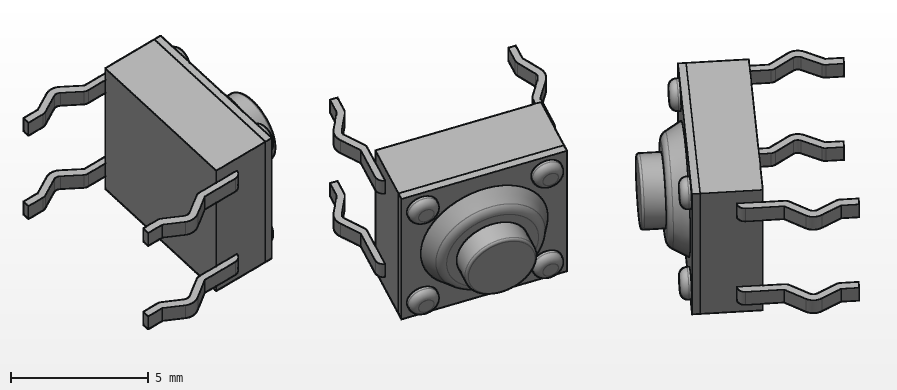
import cadquery as cq


SWITCH_SIDE = 6.5
BASE_HEIGHT = 2.3
PLATE_THICKNESS = 0.3
PLATE_TOP = BASE_HEIGHT + PLATE_THICKNESS

COLLAR_RADIUS = 2.5
COLLAR_HEIGHT = 0.8
COLLAR_TAPER = 30
COLLAR_ROUND = 0.4
COLLAR_TOP = PLATE_TOP + COLLAR_HEIGHT

BUTTON_RADIUS = 1.41
BUTTON_HEIGHT = 0.9
BUTTON_ROUND = 0.1

STUD_RADIUS = 0.6
STUD_HEIGHT = 0.4
STUD_ROUND = 0.3
STUD_SPACING = 4.88

LEAD_WIDTH = 0.7
LEAD_SPACING = 4.5
LEAD_THICKNESS = 0.3
LEAD_SHOULDER_TOP = 0.97
LEAD_SHOULDER_RADIUS = 0.315
LEAD_SHOULDER_END = 0.67
LEAD_TIP = -3.5
OUTER_UPPER_BEND = (0.27, -0.75)
OUTER_KNEE = (0.98, -1.79)
OUTER_LOWER_BEND = (0.4, -2.83)
INNER_UPPER_BEND = (0, -0.885)
INNER_KNEE = (0.63, -1.8)
INNER_LOWER_BEND = (OUTER_LOWER_BEND[0] - LEAD_THICKNESS, -2.745)
KNEE_INNER_RADIUS = 0.265
KNEE_OUTER_RADIUS = KNEE_INNER_RADIUS + LEAD_THICKNESS
BEND_RADIUS = LEAD_THICKNESS


def plane_at(height):
    """Plane across the button axis at the given Y, facing +Y."""
    return cq.Workplane("XZ", origin=(0, height, 0)).transformed(rotate=(180, 0, 0))


def make_lead():
    """One lead on the +X side, centred on Z = 0."""
    lead = (
        cq.Workplane("XY")
        .moveTo(0, LEAD_SHOULDER_TOP)
        .radiusArc((OUTER_UPPER_BEND[0], LEAD_SHOULDER_END), LEAD_SHOULDER_RADIUS)
        .lineTo(*OUTER_UPPER_BEND)
        .lineTo(*OUTER_KNEE)
        .lineTo(*OUTER_LOWER_BEND)
        .lineTo(OUTER_LOWER_BEND[0], LEAD_TIP)
        .lineTo(INNER_LOWER_BEND[0], LEAD_TIP)
        .lineTo(*INNER_LOWER_BEND)
        .lineTo(*INNER_KNEE)
        .lineTo(*INNER_UPPER_BEND)
        .close()
        .extrude(LEAD_WIDTH / 2, both=True)
    )
    rounded_corners = [
        (OUTER_KNEE, KNEE_OUTER_RADIUS),
        (INNER_KNEE, KNEE_INNER_RADIUS),
        (INNER_UPPER_BEND, BEND_RADIUS),
        (INNER_LOWER_BEND, BEND_RADIUS),
    ]
    for (x, y), radius in rounded_corners:
        corner_edge = cq.selectors.NearestToPointSelector((x, y, 0))
        lead = lead.edges("|Z").edges(corner_edge).fillet(radius)
    return lead.translate((SWITCH_SIDE / 2, 0, 0))


def make_base():
    """Base block with two leads along each of its X sides."""
    base = plane_at(0).rect(SWITCH_SIDE, SWITCH_SIDE).extrude(BASE_HEIGHT)
    right_lead = make_lead()
    for z in (-LEAD_SPACING / 2, LEAD_SPACING / 2):
        for lead in (right_lead, right_lead.mirror("YZ")):
            base = base.union(lead.translate((0, 0, z)))
    return base


def make_cover():
    """Cover plate carrying the collar, the button and the corner studs."""
    plate = plane_at(BASE_HEIGHT).rect(SWITCH_SIDE, SWITCH_SIDE).extrude(PLATE_THICKNESS)
    collar = (
        plane_at(PLATE_TOP)
        .circle(COLLAR_RADIUS)
        .extrude(COLLAR_HEIGHT, taper=COLLAR_TAPER)
        .edges(">Y")
        .fillet(COLLAR_ROUND)
    )
    button = (
        plane_at(COLLAR_TOP)
        .circle(BUTTON_RADIUS)
        .extrude(BUTTON_HEIGHT)
        .edges(">Y")
        .fillet(BUTTON_ROUND)
    )
    studs = (
        plane_at(PLATE_TOP)
        .rarray(STUD_SPACING, STUD_SPACING, 2, 2)
        .circle(STUD_RADIUS)
        .extrude(STUD_HEIGHT)
        .edges(">Y")
        .fillet(STUD_ROUND)
    )
    return plate.union(collar).union(button).union(studs)


base = make_base()
cover = make_cover()

result = cq.Compound.makeCompound([base.solids().val(), cover.solids().val()])